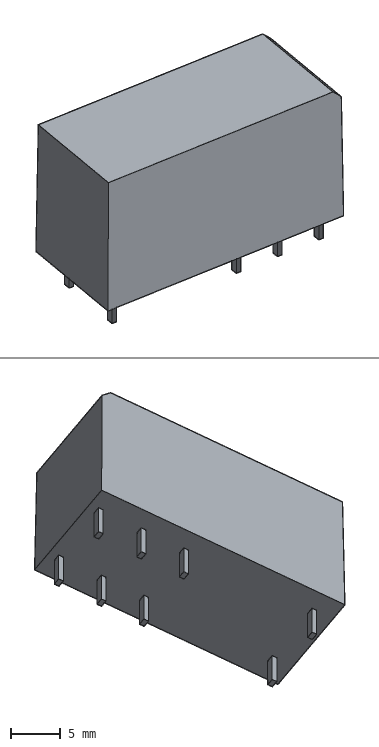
import cadquery as cq

base_width = 12.7
base_length = 29.0
body_height = 15.7
side_inset = 0.17
top_chamfer = 1.02

pin_width = 0.85
pin_thickness = 0.55
pin_length = 3.62
row_spacing = 7.55
coil_pin_y = -12.2
first_contact_y = 3.07
contact_pitch = 5.08
contacts_per_row = 3


def make_body():
    top_width = base_width - 2 * side_inset
    top_length = base_length - 2 * side_inset
    body = (
        cq.Workplane("XY")
        .rect(base_width, base_length)
        .workplane(offset=body_height)
        .rect(top_width, top_length)
        .loft(ruled=True)
    )
    return body.faces(">Z").edges(">Y").chamfer(top_chamfer)


def make_pins():
    pin_ys = [coil_pin_y]
    for index in range(contacts_per_row):
        pin_ys.append(first_contact_y + index * contact_pitch)
    positions = [(side * row_spacing / 2, y) for side in (-1, 1) for y in pin_ys]
    return (
        cq.Workplane("XY")
        .pushPoints(positions)
        .rect(pin_width, pin_thickness)
        .extrude(-pin_length)
    )


result = make_body().union(make_pins())